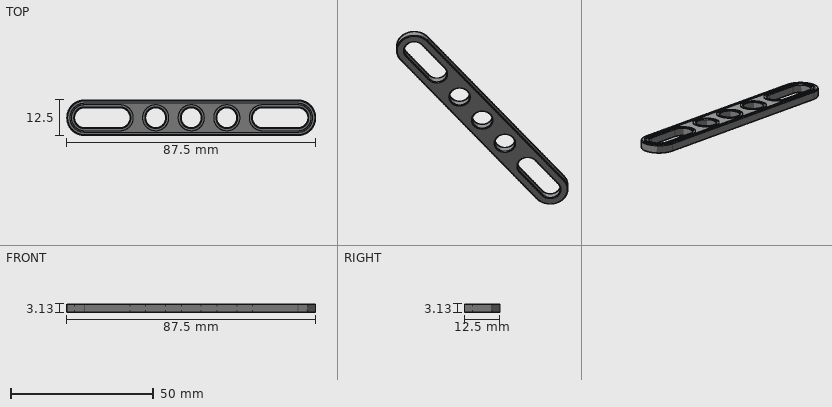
import cadquery as cq

length = 87.5
pitch_count = 7
hole_diameter = 7.0
ring_diameter = 9.2
border_width = 1.1
recess_depth = 0.2
edge_chamfer = 0.3

pitch = length / pitch_count
width = pitch
thickness = pitch / 4
end_center = (length - pitch) / 2
hole_centers = [-pitch, 0, pitch]
slot_offset = end_center - pitch / 2
slot_centers = [-slot_offset, slot_offset]
top = thickness / 2


def stadium(total_length, diameter, height, center_x=0):
    """Upright solid with straight sides and round ends, centred on the mid-plane."""
    outline = cq.Workplane("XY").center(center_x, 0).slot2D(total_length, diameter)
    return outline.extrude(height / 2, both=True)


def openings(diameter):
    """Three round posts and two end slots of the given diameter, one bar thickness tall."""
    posts = cq.Workplane("XY").pushPoints([(x, 0) for x in hole_centers])
    shapes = posts.circle(diameter / 2).extrude(thickness / 2, both=True)
    for x in slot_centers:
        shapes = shapes.union(stadium(pitch + diameter, diameter, thickness, x))
    return shapes


def recess():
    """Shallow floor inside the border that leaves a raised ring around every opening."""
    floor = stadium(length - 2 * border_width, width - 2 * border_width, 2 * recess_depth)
    return floor.translate((0, 0, top)).cut(openings(ring_diameter))


plate = stadium(length, width, thickness).cut(openings(hole_diameter))
plate = plate.faces("|Z").edges().chamfer(edge_chamfer)

result = plate.cut(recess())